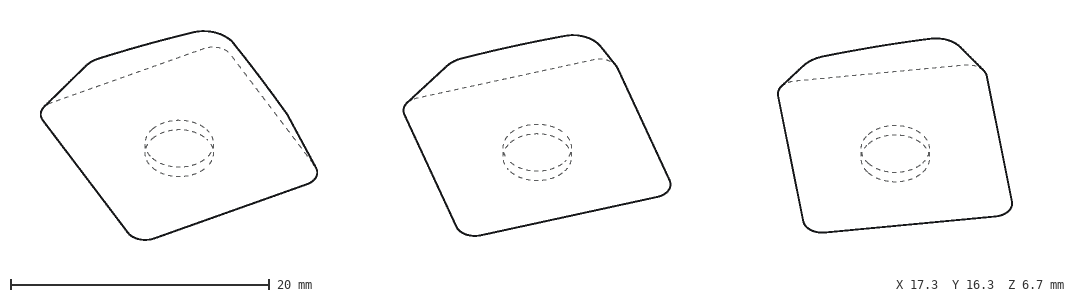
import cadquery as cq

base_width = 17.3
base_depth = 16.3
base_corner_radius = 1.5
top_side = 12.5
top_corner_radius = 2.5
top_tilt = 6.0
crown_y = 0.57
crown_height = 5.43
dome_radius = 50.0
rim_fillet = 0.5
stem_diameter = 5.3
stem_length = 1.0

crown_plane = cq.Plane(origin=(0, crown_y, crown_height)).rotated((-top_tilt, 0, 0))


def rounded_rectangle(width, depth, radius):
    """Closed outline with four equal corner arcs."""
    return cq.Sketch().rect(width, depth).vertices().fillet(radius)


def tapered_body():
    """Loft from the flat base to the tilted top outline."""
    base = rounded_rectangle(base_width, base_depth, base_corner_radius)
    top = rounded_rectangle(top_side, top_side, top_corner_radius)
    return (
        cq.Workplane("XY")
        .placeSketch(base, top.moved(cq.Location(crown_plane)))
        .loft(ruled=True)
    )


def dome():
    """Sphere whose surface touches the crown plane at the centre of the top."""
    return cq.Workplane(crown_plane).workplane(offset=-dome_radius).sphere(dome_radius)


def stem():
    """Round stem standing below the base."""
    return cq.Workplane("XY").circle(stem_diameter / 2).extrude(-stem_length)


cap = tapered_body().intersect(dome())
crown_point = cq.selectors.NearestToPointSelector((0, crown_y, crown_height))
cap = cap.faces(crown_point).edges().fillet(rim_fillet)

result = cap.union(stem())